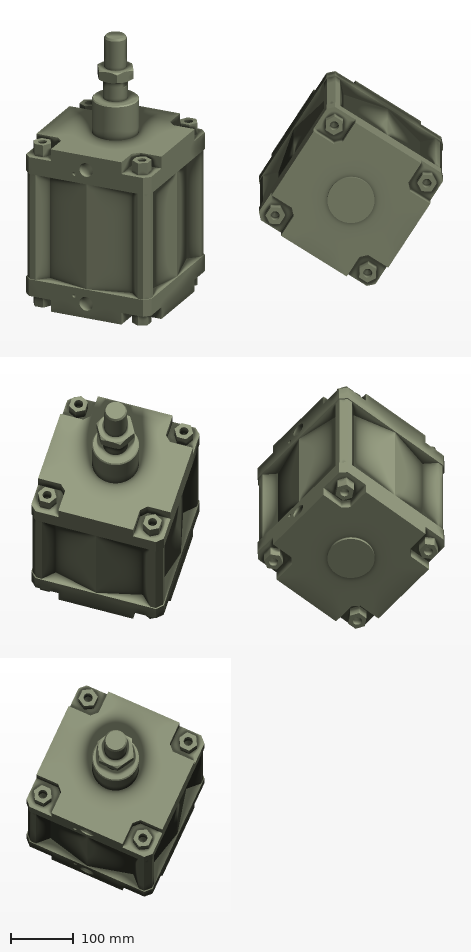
import cadquery as cq
import math


total_height = 452.0
collar_height = 5.0
cap_height = 49.3
tube_length = 182.0
boss_height = 59.0
rod_nut_bottom = 380.0
rod_nut_height = 18.0

rear_cap_bottom = collar_height
tube_bottom = rear_cap_bottom + cap_height
front_cap_bottom = tube_bottom + tube_length
front_cap_top = front_cap_bottom + cap_height
boss_top = front_cap_top + boss_height

cap_width = 220.0
cap_chamfer = 10.0
pocket_width = 48.0
pocket_depth = 20.5
pocket_chamfer = 10.0
boss_radius = 37.5
boss_chamfer = 2.0

tie_spacing = 175.0
tie_nut_across_flats = 26.5
tie_hole_radius = 7.2
tie_hole_depth = 20.5
drill_point_angle = 118.0

port_radius = 11.8
port_depth = 36.0
screw_hole_radius = 3.0
screw_hole_depth = 18.0
screw_hole_side_offset = 21.0
screw_hole_axial_offset = 10.5

tube_half_width = 108.5
tube_chamfer = 9.5
column_inner_edge = 90.0
groove_depth = 17.5

rod_radius = 20.0
thread_radius = 18.0
rod_tip_chamfer_width = 2.3
rod_tip_chamfer_height = 3.5
rod_flat_half_width = 18.0
rod_flat_bottom = 367.5
rod_flat_turn = -6.0

rod_nut_across_flats = 55.0
rod_nut_chamfer_angle = 30.0

overcut = 4.5


def hexagon_prism(across_flats, height):
    """Upright hexagonal prism with corners on +-X."""
    across_corners = across_flats / math.cos(math.radians(30))
    return cq.Workplane("XY").polygon(6, across_corners).extrude(height)


def cylinder(radius, bottom, top):
    return cq.Workplane("XY").workplane(offset=bottom).circle(radius).extrude(top - bottom)


def make_cap(bottom, pocket_bottom):
    """Square end cap with a chamfered pocket at each corner."""
    cap = (
        cq.Workplane("XY")
        .workplane(offset=bottom)
        .rect(cap_width, cap_width)
        .extrude(cap_height)
        .edges("|Z")
        .chamfer(cap_chamfer)
    )
    pocket_inner_edge = cap_width / 2 - pocket_width
    pocket_outer_edge = cap_width / 2 + overcut
    pocket = (
        cq.Workplane("XY")
        .workplane(offset=pocket_bottom)
        .moveTo(pocket_outer_edge, pocket_inner_edge)
        .lineTo(pocket_inner_edge + pocket_chamfer, pocket_inner_edge)
        .lineTo(pocket_inner_edge, pocket_inner_edge + pocket_chamfer)
        .lineTo(pocket_inner_edge, pocket_outer_edge)
        .lineTo(pocket_outer_edge, pocket_outer_edge)
        .close()
        .extrude(pocket_depth)
    )
    for quarter in range(4):
        cap = cap.cut(pocket.rotate((0, 0, 0), (0, 0, 1), 90 * quarter))
    return cap


def make_tie_nuts(bottom):
    """Four hexagon nuts, each turned a quarter from its neighbour."""
    nut = hexagon_prism(tie_nut_across_flats, pocket_depth)
    nut = nut.translate((tie_spacing / 2, tie_spacing / 2, bottom))
    return [nut.rotate((0, 0, 0), (0, 0, 1), 90 * quarter) for quarter in range(4)]


def make_tie_holes(mouth, inward):
    """Four drilled holes with a pointed end, running from the nut faces into the tie rods."""
    point_depth = tie_hole_radius / math.tan(math.radians(drill_point_angle / 2))
    hole = (
        cq.Workplane("XZ")
        .moveTo(0, 0)
        .lineTo(tie_hole_radius, 0)
        .lineTo(tie_hole_radius, inward * tie_hole_depth)
        .lineTo(0, inward * (tie_hole_depth + point_depth))
        .close()
        .revolve(360, (0, 0, 0), (0, 1, 0))
        .translate((tie_spacing / 2, tie_spacing / 2, mouth))
    )
    return [hole.rotate((0, 0, 0), (0, 0, 1), 90 * quarter) for quarter in range(4)]


def make_tube():
    """Tube with four corner columns and a shallow ridge along the middle of each side."""
    column_outer_edge = tube_half_width - tube_chamfer
    side = [
        (0, -tube_half_width),
        (column_inner_edge - groove_depth, -tube_half_width + groove_depth),
        (column_inner_edge, -tube_half_width),
        (column_outer_edge, -tube_half_width),
    ]
    quarter = side + [(-y, -x) for x, y in reversed(side[1:])]
    outline = []
    for _ in range(4):
        outline += quarter
        quarter = [(-y, x) for x, y in quarter]
    return cq.Workplane("XY").workplane(offset=tube_bottom).polyline(outline).close().extrude(tube_length)


def front_hole(radius, depth, x, z):
    """Blind hole drilled into the -Y side of a cap."""
    return (
        cq.Workplane("XZ", origin=(0, -cap_width / 2, 0))
        .center(x, z)
        .circle(radius)
        .extrude(-depth)
    )


def make_housing():
    rear_pocket_bottom = rear_cap_bottom
    front_pocket_bottom = front_cap_top - pocket_depth
    housing = make_tube()
    housing = housing.union(make_cap(rear_cap_bottom, rear_pocket_bottom))
    housing = housing.union(make_cap(front_cap_bottom, front_pocket_bottom))
    tie_nuts = make_tie_nuts(rear_pocket_bottom) + make_tie_nuts(front_pocket_bottom)
    for tie_nut in tie_nuts:
        housing = housing.union(tie_nut)
    tie_holes = make_tie_holes(rear_cap_bottom, 1) + make_tie_holes(front_cap_top, -1)
    for tie_hole in tie_holes:
        housing = housing.cut(tie_hole)

    boss = cylinder(boss_radius, front_cap_top, boss_top).faces(">Z").chamfer(boss_chamfer)
    housing = housing.union(boss)
    housing = housing.union(cylinder(boss_radius, 0, collar_height))

    for cap_bottom, tube_side in ((rear_cap_bottom, 1), (front_cap_bottom, -1)):
        port_z = cap_bottom + cap_height / 2
        screw_z = port_z + tube_side * screw_hole_axial_offset
        housing = housing.cut(front_hole(port_radius, port_depth, 0, port_z))
        housing = housing.cut(
            front_hole(screw_hole_radius, screw_hole_depth, -screw_hole_side_offset, screw_z)
        )
    return housing


def make_rod():
    """Rod standing on the boss, with slightly turned wrench flats below the threaded end."""
    tip_radius = thread_radius - rod_tip_chamfer_width
    rod = (
        cq.Workplane("XZ")
        .moveTo(0, boss_top)
        .lineTo(rod_radius, boss_top)
        .lineTo(rod_radius, rod_nut_bottom)
        .lineTo(thread_radius, rod_nut_bottom)
        .lineTo(thread_radius, total_height - rod_tip_chamfer_height)
        .lineTo(tip_radius, total_height)
        .lineTo(0, total_height)
        .close()
        .revolve(360, (0, 0, 0), (0, 1, 0))
    )
    flat_height = rod_nut_bottom - rod_flat_bottom
    for side in (-1, 1):
        flat_cut = (
            cq.Workplane("XY")
            .box(2 * rod_radius, 4 * rod_radius, flat_height, centered=(True, True, False))
            .translate((side * (rod_flat_half_width + rod_radius), 0, rod_flat_bottom))
            .rotate((0, 0, 0), (0, 0, 1), rod_flat_turn)
        )
        rod = rod.cut(flat_cut)
    return rod


def make_rod_nut():
    """Hexagon nut on the thread, corners chamfered by a cone on both faces."""
    face_radius = rod_nut_across_flats / 2
    waist_radius = face_radius + rod_nut_height / 2 / math.tan(math.radians(rod_nut_chamfer_angle))
    cone_pair = (
        cq.Workplane("XZ")
        .moveTo(0, 0)
        .lineTo(face_radius, 0)
        .lineTo(waist_radius, rod_nut_height / 2)
        .lineTo(face_radius, rod_nut_height)
        .lineTo(0, rod_nut_height)
        .close()
        .revolve(360, (0, 0, 0), (0, 1, 0))
    )
    return (
        hexagon_prism(rod_nut_across_flats, rod_nut_height)
        .intersect(cone_pair)
        .cut(cylinder(thread_radius, 0, rod_nut_height))
        .translate((0, 0, rod_nut_bottom))
    )


housing = make_housing()
rod = make_rod()
rod_nut = make_rod_nut()

result = cq.Compound.makeCompound([housing.val(), rod.val(), rod_nut.val()])